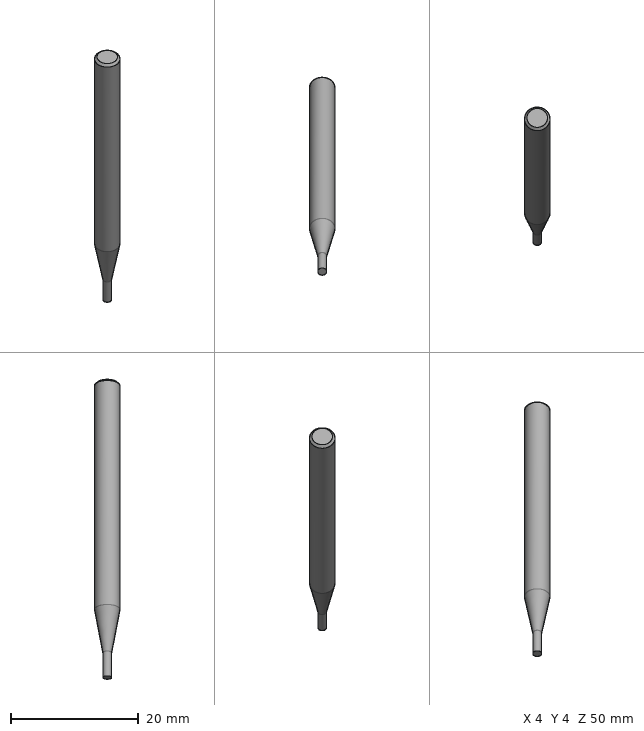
import cadquery as cq

total_length = 50.0
shank_diameter = 4.0
tip_diameter = 1.4
tip_length = 4.2
taper_length = 7.35
end_chamfer = 0.4

shank_radius = shank_diameter / 2
tip_radius = tip_diameter / 2
shank_start = tip_length + taper_length

half_section = (
    cq.Workplane("XZ")
    .moveTo(0, 0)
    .lineTo(tip_radius, 0)
    .lineTo(tip_radius, tip_length)
    .lineTo(shank_radius, shank_start)
    .lineTo(shank_radius, total_length - end_chamfer)
    .lineTo(shank_radius - end_chamfer, total_length)
    .lineTo(0, total_length)
    .close()
)

result = half_section.revolve(360, (0, 0, 0), (0, 1, 0))